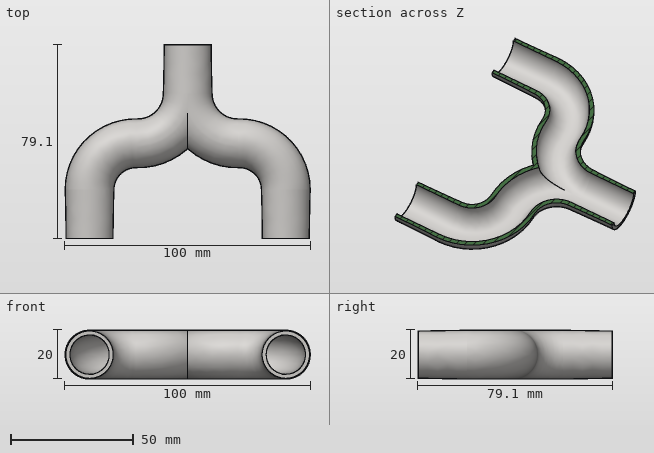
import cadquery as cq
import math

tube_diameter = 20.0
bore_diameter = 16.0
spigot_end_diameter = 19.3
spigot_length = 20.0
leg_offset = 40.0
overall_length = 79.14
stem_bend_radius = 20.25

bend_drop = overall_length - 2 * spigot_length
bend_angle = 2 * math.atan2(leg_offset, bend_drop)
leg_bend_radius = bend_drop / math.sin(bend_angle) - stem_bend_radius

STEM_FACE = cq.Vector(0, 0, 0)
LEG_FACE = cq.Vector(leg_offset, -bend_drop, 0)
TOWARD_STEM = cq.Vector(0, 1, 0)
TOWARD_LEG = cq.Vector(0, -1, 0)


def arc_point(center_x, center_y, radius, angle):
    """Point on a circle in the XY plane."""
    return (center_x + radius * math.cos(angle), center_y + radius * math.sin(angle))


def arm_path():
    """Centreline of the right-hand arm, from the stem face to the leg face."""
    stem_center = (stem_bend_radius, 0)
    leg_center = (leg_offset - leg_bend_radius, -bend_drop)
    stem_middle = arc_point(*stem_center, stem_bend_radius, math.pi + bend_angle / 2)
    bends_meet = arc_point(*stem_center, stem_bend_radius, math.pi + bend_angle)
    leg_middle = arc_point(*leg_center, leg_bend_radius, bend_angle / 2)
    path = cq.Workplane("XY").moveTo(0, 0).threePointArc(stem_middle, bends_meet)
    return path.threePointArc(leg_middle, (LEG_FACE.x, LEG_FACE.y))


def bent_rod(diameter):
    """Round rod that follows the right-hand arm."""
    return cq.Workplane("XZ").circle(diameter / 2).sweep(arm_path())


def straight_rod(face, direction, end_diameter, diameter):
    """Straight or tapered rod of spigot length, starting at a bend face."""
    return cq.Workplane(
        cq.Solid.makeCone(diameter / 2, end_diameter / 2, spigot_length, face, direction)
    )


def branched_rod(diameter, end_diameter):
    """Solid Y shape: one stem and two mirrored arms with their legs."""
    stem = straight_rod(STEM_FACE, TOWARD_STEM, end_diameter, diameter)
    bends = bent_rod(diameter)
    leg = straight_rod(LEG_FACE, TOWARD_LEG, end_diameter, diameter)
    both_bends = bends.union(bends.mirror("YZ"))
    return both_bends.union(stem).union(leg).union(leg.mirror("YZ"))


def straight_bore(face, direction):
    """Cylinder that carries the bore through a spigot."""
    return cq.Workplane(
        cq.Solid.makeCylinder(bore_diameter / 2, spigot_length, face, direction)
    )


def hollow(body):
    """Run the constant-diameter bore through every branch."""
    bend_bore = bent_rod(bore_diameter)
    leg_bore = straight_bore(LEG_FACE, TOWARD_LEG)
    body = body.cut(bend_bore).cut(bend_bore.mirror("YZ"))
    body = body.cut(leg_bore).cut(leg_bore.mirror("YZ"))
    return body.cut(straight_bore(STEM_FACE, TOWARD_STEM))


result = hollow(branched_rod(tube_diameter, spigot_end_diameter))